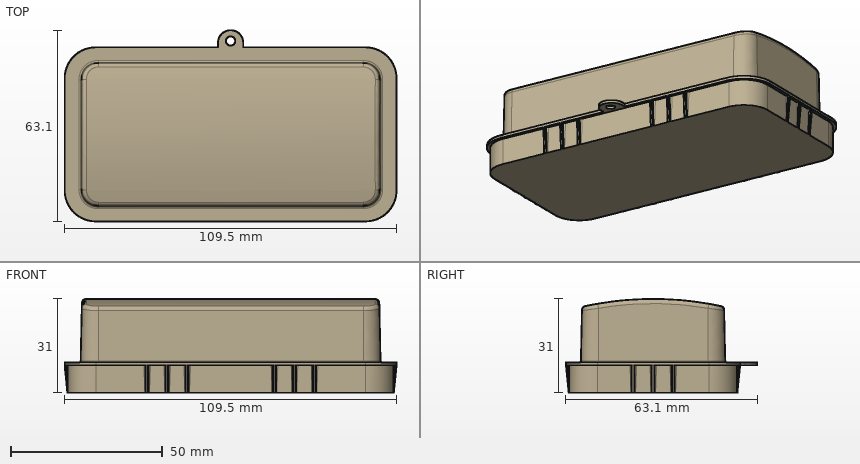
import cadquery as cq
import math

FLANGE_LENGTH = 109.54
FLANGE_WIDTH = 57.5
FLANGE_CORNER_RADIUS = 10.3
FLANGE_THICKNESS = 1.0

SKIRT_HEIGHT = 9.0
SKIRT_INSET = 1.1
FLANGE_TOP = SKIRT_HEIGHT + FLANGE_THICKNESS

OVERALL_WIDTH = 63.14
EAR_RADIUS = 4.2
EAR_HOLE_DIAMETER = 3.0
EAR_HOLE_OFFSET = 0.6
EAR_TIP_Y = OVERALL_WIDTH - FLANGE_WIDTH / 2
EAR_CENTRE_Y = EAR_TIP_Y - EAR_RADIUS
EAR_HOLE_Y = EAR_CENTRE_Y + EAR_HOLE_OFFSET

OVERALL_HEIGHT = 30.99
DOME_LENGTH = 99.0
DOME_WIDTH = 47.7
DOME_CORNER_RADIUS = 5.8
DOME_DRAFT_ANGLE = 1.2
CROWN_RADIUS = 106.0
CROWN_EDGE_FILLET = 1.5
DOME_BASE_FILLET = 0.6

RIB_PITCH = 6.6
RIBS_PER_GROUP = 3
LONG_SIDE_GROUP_OFFSET = 21.0
RIB_CREST_WIDTH = 0.7
RIB_NECK_WIDTH = 1.2
RIB_TOP_FLARE = 0.5
RIB_BOTTOM_FLARE = 0.15
RIB_BOTTOM_HEIGHT = 0.2
RIB_ROOT_DEPTH = 0.5


def rounded_block(length, width, height, corner_radius, base_z):
    """Upright block, centred on Z, with rounded vertical edges."""
    block = cq.Workplane("XY").workplane(offset=base_z).rect(length, width).extrude(height)
    return block.edges("|Z").fillet(corner_radius)


def make_flange():
    plate = rounded_block(
        FLANGE_LENGTH,
        FLANGE_WIDTH,
        FLANGE_THICKNESS,
        FLANGE_CORNER_RADIUS,
        SKIRT_HEIGHT,
    )
    plane = cq.Workplane("XY").workplane(offset=SKIRT_HEIGHT)
    ear_neck = plane.center(0, EAR_CENTRE_Y / 2).rect(2 * EAR_RADIUS, EAR_CENTRE_Y).extrude(FLANGE_THICKNESS)
    ear_end = plane.center(0, EAR_CENTRE_Y).circle(EAR_RADIUS).extrude(FLANGE_THICKNESS)
    hole = plane.center(0, EAR_HOLE_Y).circle(EAR_HOLE_DIAMETER / 2).extrude(FLANGE_THICKNESS)
    return plate.union(ear_neck).union(ear_end).cut(hole)


def make_skirt():
    return rounded_block(
        FLANGE_LENGTH - 2 * SKIRT_INSET,
        FLANGE_WIDTH - 2 * SKIRT_INSET,
        SKIRT_HEIGHT,
        FLANGE_CORNER_RADIUS - SKIRT_INSET,
        0,
    )


def make_dome():
    """Drafted block trimmed by a cylinder along X, with a rounded top edge."""
    height = OVERALL_HEIGHT - FLANGE_TOP
    base = cq.Sketch().rect(DOME_LENGTH, DOME_WIDTH).vertices().fillet(DOME_CORNER_RADIUS)
    block = cq.Workplane("XY").workplane(offset=FLANGE_TOP).placeSketch(base)
    block = block.extrude(height, taper=DOME_DRAFT_ANGLE)
    crown = (
        cq.Workplane("YZ")
        .center(0, OVERALL_HEIGHT - CROWN_RADIUS)
        .circle(CROWN_RADIUS)
        .extrude(DOME_LENGTH / 2, both=True)
    )
    dome = block.intersect(crown)
    top_face = dome.faces(">Z")
    return top_face.edges().fillet(CROWN_EDGE_FILLET)


def rib_section(plane, height, flare):
    """Rib outline in plan: a root buried in the wall, concave flares and a narrow crest facing -Y."""
    crest = RIB_CREST_WIDTH / 2
    neck = RIB_NECK_WIDTH / 2
    foot = neck + flare
    arc_offset = flare * (1 - math.sqrt(0.5))
    return (
        plane.moveTo(-foot, RIB_ROOT_DEPTH)
        .lineTo(-foot, 0)
        .threePointArc((-neck - arc_offset, -arc_offset), (-neck, -flare))
        .lineTo(-crest, -height)
        .lineTo(crest, -height)
        .lineTo(neck, -flare)
        .threePointArc((neck + arc_offset, -arc_offset), (foot, 0))
        .lineTo(foot, RIB_ROOT_DEPTH)
        .close()
    )


def make_rib():
    """One rib on a wall at Y = 0, standing out flush with the flange edge at its top."""
    bottom = rib_section(cq.Workplane("XY"), RIB_BOTTOM_HEIGHT, RIB_BOTTOM_FLARE)
    top_plane = bottom.workplane(offset=SKIRT_HEIGHT)
    return rib_section(top_plane, SKIRT_INSET, RIB_TOP_FLARE).loft(ruled=True)


def add_rib_group(body, group_offset, wall_distance, wall_angle):
    """Add a row of ribs to the skirt wall turned by wall_angle about Z from the -Y wall."""
    for index in range(RIBS_PER_GROUP):
        along = group_offset + (index - (RIBS_PER_GROUP - 1) / 2) * RIB_PITCH
        rib = make_rib().translate((along, -wall_distance, 0))
        body = body.union(rib.rotate((0, 0, 0), (0, 0, 1), wall_angle))
    return body


def add_ribs(body):
    long_wall = FLANGE_WIDTH / 2 - SKIRT_INSET
    end_wall = FLANGE_LENGTH / 2 - SKIRT_INSET
    for turn in (0, 180):
        for side in (-1, 1):
            body = add_rib_group(body, side * LONG_SIDE_GROUP_OFFSET, long_wall, turn)
        body = add_rib_group(body, 0, end_wall, turn + 90)
    return body


def blend_dome_base(body):
    """Fillet the inside corner where the dome wall meets the flange."""
    margin = DOME_BASE_FILLET / 2
    foot = cq.selectors.BoxSelector(
        (-DOME_LENGTH / 2 - margin, -DOME_WIDTH / 2 - margin, FLANGE_TOP - margin),
        (DOME_LENGTH / 2 + margin, DOME_WIDTH / 2 + margin, FLANGE_TOP + margin),
        boundingbox=True,
    )
    return body.edges(foot).fillet(DOME_BASE_FILLET)


cover = make_flange().union(make_skirt()).union(make_dome())
cover = blend_dome_base(cover)
result = add_ribs(cover)